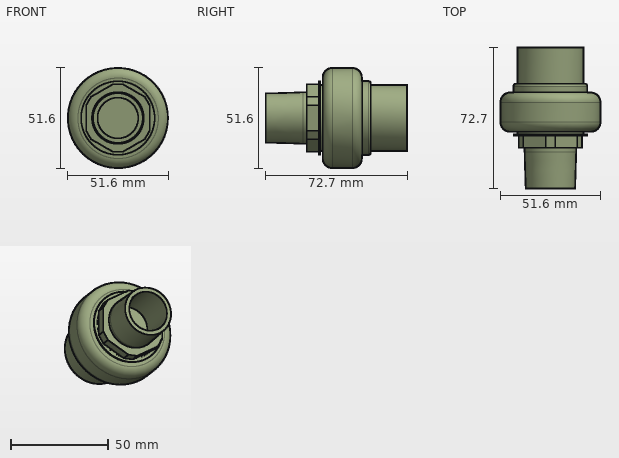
import cadquery as cq
import math

length = 72.65

taper_end = 19.1
hex_start = 21.0
flange_start = 27.3
flange_end = 28.0
nut_start = 29.2
nut_end = 49.5
collar_end = 54.05

spigot_tip_diameter = 25.5
spigot_diameter = 26.65
bore_diameter = 20.9
flange_diameter = 37.85
body_diameter = 34.1
nut_diameter = 51.6
collar_diameter = 38.1

nut_fillet = 5.1
collar_fillet = 1.45

hex_across_flats = 32.6
hex_across_trimmed_corners = 34.8


def plane_at(y):
    """Plane across the axis with its normal along +Y."""
    return cq.Plane(origin=(0, y, 0), xDir=(1, 0, 0), normal=(0, 1, 0))


def cylinder(diameter, start, end):
    return cq.Workplane(plane_at(start)).circle(diameter / 2).extrude(end - start)


def hexagon(across_flats, rotation):
    """Hexagonal prism turned about the axis by rotation degrees."""
    corner_diameter = across_flats / math.cos(math.pi / 6)
    prism = cq.Workplane(plane_at(hex_start)).polygon(6, corner_diameter).extrude(flange_start - hex_start)
    return prism.rotate((0, 0, 0), (0, 1, 0), rotation)


def spigot():
    taper = (
        cq.Workplane(plane_at(0))
        .circle(spigot_tip_diameter / 2)
        .workplane(offset=taper_end)
        .circle(spigot_diameter / 2)
        .loft()
    )
    return taper.union(cylinder(spigot_diameter, taper_end, hex_start))


def trimmed_hexagon():
    return hexagon(hex_across_flats, 30).intersect(hexagon(hex_across_trimmed_corners, 0))


def union_nut():
    return cylinder(nut_diameter, nut_start, nut_end).edges("%CIRCLE").fillet(nut_fillet)


def collar():
    return cylinder(collar_diameter, nut_end, collar_end).faces(">Y").edges().fillet(collar_fillet)


result = (
    spigot()
    .union(trimmed_hexagon())
    .union(cylinder(flange_diameter, flange_start, flange_end))
    .union(cylinder(body_diameter, flange_end, length))
    .union(union_nut())
    .union(collar())
)

result = result.cut(cylinder(bore_diameter, 0, flange_start))